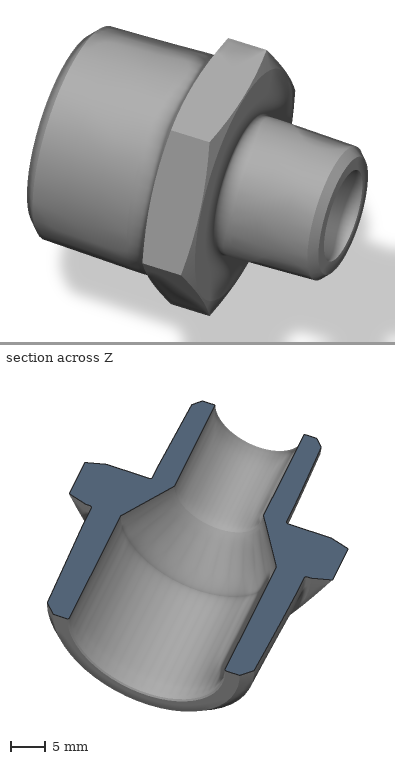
import cadquery as cq
import math

length = 44.0
taper_per_length = 1 / 32

hex_flats = 36.0
hex_start = 20.2
hex_end = 28.1
hex_face_radius = 17.75
hex_bevel_depth = 0.9

large_radius = 33.65 / 2
large_taper_end = 16.9
large_bevel = 1.65

small_radius = 21.25 / 2
small_taper_start = 30.8
small_bevel = 1.25

root_fillet = 0.25

wide_bore_radius = 24.5 / 2
wide_bore_depth = hex_start
narrow_bore_radius = 14.0 / 2
cone_length = hex_end - hex_start
entry_chamfer = 0.2

hex_corner_radius = hex_flats / math.sqrt(3)
large_rim_radius = large_radius - (large_taper_end - large_bevel) * taper_per_length
small_bevel_start = length - small_bevel
small_rim_radius = small_radius - (small_bevel_start - small_taper_start) * taper_per_length


def revolve_about_x(profile):
    """Revolve a closed (X, radius) profile once around the X axis."""
    return profile.close().revolve(360, (0, 0, 0), (1, 0, 0))


def make_threaded_ends():
    """Solid turned body: both ends and the core that joins them through the collar."""
    fillet_dip = root_fillet * (1 - math.sqrt(0.5))
    profile = (
        cq.Workplane("XY")
        .moveTo(0, 0)
        .lineTo(0, large_rim_radius - large_bevel)
        .lineTo(large_bevel, large_rim_radius)
        .lineTo(large_taper_end, large_radius)
        .lineTo(hex_start - root_fillet, large_radius)
        .threePointArc(
            (hex_start - fillet_dip, large_radius + fillet_dip),
            (hex_start, large_radius + root_fillet),
        )
        .lineTo(hex_end, large_radius + root_fillet)
        .lineTo(hex_end, small_radius + root_fillet)
        .threePointArc(
            (hex_end + fillet_dip, small_radius + fillet_dip),
            (hex_end + root_fillet, small_radius),
        )
        .lineTo(small_taper_start, small_radius)
        .lineTo(small_bevel_start, small_rim_radius)
        .lineTo(length, small_rim_radius - small_bevel)
        .lineTo(length, 0)
    )
    return revolve_about_x(profile)


def make_hex_collar():
    """Hexagonal prism whose corners are bevelled by a cone on both faces."""
    prism = (
        cq.Workplane("YZ", origin=(hex_start, 0, 0))
        .polygon(6, 2 * hex_corner_radius)
        .extrude(hex_end - hex_start)
    )
    bevel_envelope = revolve_about_x(
        cq.Workplane("XY")
        .moveTo(hex_start, 0)
        .lineTo(hex_start, hex_face_radius)
        .lineTo(hex_start + hex_bevel_depth, hex_corner_radius)
        .lineTo(hex_end - hex_bevel_depth, hex_corner_radius)
        .lineTo(hex_end, hex_face_radius)
        .lineTo(hex_end, 0)
    )
    return prism.intersect(bevel_envelope)


def make_bore():
    """Through bore: chamfered wide mouth, conical transition, narrow outlet."""
    profile = (
        cq.Workplane("XY")
        .moveTo(0, 0)
        .lineTo(0, wide_bore_radius + entry_chamfer)
        .lineTo(entry_chamfer, wide_bore_radius)
        .lineTo(wide_bore_depth, wide_bore_radius)
        .lineTo(wide_bore_depth + cone_length, narrow_bore_radius)
        .lineTo(length, narrow_bore_radius)
        .lineTo(length, 0)
    )
    return revolve_about_x(profile)


result = make_threaded_ends().union(make_hex_collar()).cut(make_bore())